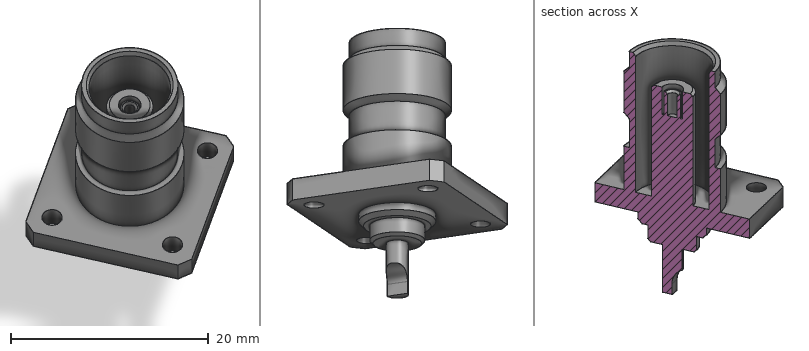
import cadquery as cq

flange_side = 17.5
flange_bottom = 8.55
flange_top = 10.8
corner_cut = 1.13
hole_spacing = 12.7
hole_diameter = 2.0

total_height = 26.8
barrel_radius = 5.5
neck_radius = 4.88
barrel_bevel = barrel_radius - neck_radius
collar_top = 15.79
coupling_bottom = 19.03
coupling_top = 24.98

socket_radius = 4.13
mouth_radius = 4.4
mouth_depth = 0.4
socket_floor = flange_top

insulator_radius = 2.35
insulator_chamfer = 0.3
insulator_top = 23.6
insulator_bore_radius = 1.13
contact_radius = 0.95
contact_top = 23.15
contact_countersink = 0.25
contact_bore_radius = 0.54
contact_bore_depth = 2.68

boss_radius = 3.9
boss_bottom = flange_bottom - 1.23
boss_chamfer = 0.48
step_radius = 2.8
step_bottom = flange_bottom - 3.08
step_chamfer = 0.32
pin_radius = 1.13
pin_flat_top = 1.25
pin_cutter_radius = 2.0


def cylinder(radius, bottom, top):
    return cq.Workplane("XY").workplane(offset=bottom).circle(radius).extrude(top - bottom)


def make_flange():
    flange = (
        cq.Workplane("XY")
        .workplane(offset=flange_bottom)
        .rect(flange_side, flange_side)
        .extrude(flange_top - flange_bottom)
        .edges("|Z")
        .chamfer(corner_cut)
    )
    return (
        flange.faces(">Z")
        .workplane()
        .rect(hole_spacing, hole_spacing, forConstruction=True)
        .vertices()
        .hole(hole_diameter)
    )


def make_barrel():
    section = [
        (0, flange_bottom),
        (barrel_radius, flange_bottom),
        (barrel_radius, collar_top),
        (neck_radius, collar_top),
        (neck_radius, coupling_bottom),
        (barrel_radius, coupling_bottom + barrel_bevel),
        (barrel_radius, coupling_top - barrel_bevel),
        (neck_radius, coupling_top),
        (neck_radius, total_height),
        (mouth_radius, total_height),
        (socket_radius, total_height - mouth_depth),
        (socket_radius, socket_floor),
        (0, socket_floor),
    ]
    return cq.Workplane("XZ").polyline(section).close().revolve(360, (0, 0), (0, 1))


def make_socket_core():
    insulator = cylinder(insulator_radius, flange_bottom, insulator_top)
    insulator = insulator.faces(">Z").edges().chamfer(insulator_chamfer)
    recess_bottom = contact_top - contact_bore_depth
    insulator = insulator.cut(cylinder(insulator_bore_radius, recess_bottom, insulator_top))
    contact = cylinder(contact_radius, flange_bottom, contact_top)
    contact_bore = cylinder(contact_bore_radius, recess_bottom, contact_top)
    contact = contact.cut(contact_bore)
    contact = contact.faces(">Z").edges(cq.selectors.RadiusNthSelector(0)).chamfer(contact_countersink)
    return insulator.cut(contact_bore).union(contact)


def make_boss():
    boss = cylinder(boss_radius, boss_bottom, flange_bottom)
    boss = boss.faces("<Z").edges().chamfer(boss_chamfer)
    step = cylinder(step_radius, step_bottom, boss_bottom)
    step = step.faces("<Z").edges().chamfer(step_chamfer)
    return boss.union(step)


def make_pin():
    pin = cylinder(pin_radius, 0, step_bottom)
    flat = cq.Workplane("XY").box(
        2 * pin_radius, pin_cutter_radius, pin_flat_top, centered=(True, False, False)
    )
    run_out = (
        cq.Workplane("YZ")
        .center(pin_cutter_radius, pin_flat_top)
        .circle(pin_cutter_radius)
        .extrude(pin_radius, both=True)
    )
    return pin.cut(flat).cut(run_out)


result = (
    make_flange()
    .union(make_barrel())
    .union(make_socket_core())
    .union(make_boss())
    .union(make_pin())
)